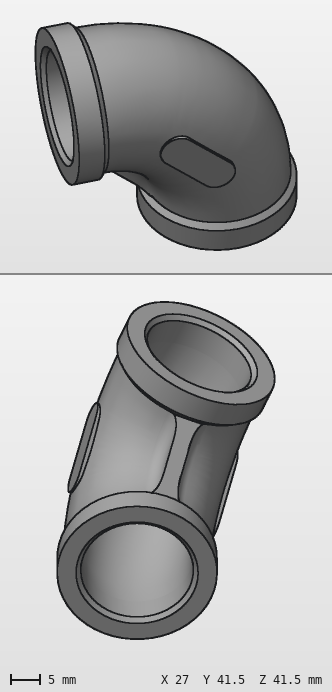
import cadquery as cq
import math


bend_angle = 90.0
centre_to_face = 28.0
collar_radius = 13.5
collar_width = 4.5
collar_chamfer = 1.0
tube_radius = 12.5
bore_radius = 9.5
mouth_chamfer = 0.8

web_thickness = 3.0
web_fillet = 3.0

pad_length = 16.0
pad_width = 6.0
pad_face_x = 12.8
pad_bend_radius = 22.0

port_length = collar_width + collar_chamfer
bend_radius = centre_to_face - port_length
inner_bend_radius = bend_radius - tube_radius
web_root_overlap = (tube_radius - bore_radius) / 2


def bend(profile):
    """Sweep a profile lying on the bend's lower end plane around the bend."""
    return profile.revolve(bend_angle, (0, -bend_radius, 0), (1, -bend_radius, 0))


def bend_plane():
    """Plane where the lower port meets the bend."""
    return cq.Workplane("XY", origin=(0, 0, -bend_radius))


def on_both_ports(lower):
    """Join a lower-port body with a copy turned onto the -Y port."""
    turned = lower.rotate((0, 0, 0), (1, 0, 0), -bend_angle)
    return lower.union(turned)


def make_collars():
    """Plain collars with a cone down to the tube at their inner edge."""
    collar = (
        cq.Workplane("XY", origin=(0, 0, -centre_to_face))
        .circle(collar_radius)
        .extrude(port_length)
        .faces(">Z")
        .chamfer(collar_chamfer)
    )
    return on_both_ports(collar)


def make_bore():
    """Straight bores with chamfered mouths, joined by the curved passage."""
    mouth_radius = bore_radius + mouth_chamfer
    straight = (
        cq.Workplane("XZ")
        .moveTo(0, -centre_to_face)
        .lineTo(mouth_radius, -centre_to_face)
        .lineTo(bore_radius, -centre_to_face + mouth_chamfer)
        .lineTo(bore_radius, -bend_radius)
        .lineTo(0, -bend_radius)
        .close()
        .revolve(360, (0, 0, 0), (0, 1, 0))
    )
    return on_both_ports(straight).union(bend(bend_plane().circle(bore_radius)))


def make_web():
    """Filleted web inside the bend, cut off flat along the chord of its inner arc."""
    half_web = web_thickness / 2
    fillet_x = half_web + web_fillet
    fillet_reach = tube_radius + web_fillet
    fillet_y = -math.sqrt(fillet_reach**2 - fillet_x**2)
    contact_x = fillet_x * tube_radius / fillet_reach
    contact_y = fillet_y * tube_radius / fillet_reach
    middle_angle = (math.pi + math.atan2(-fillet_y, -fillet_x)) / 2
    middle_x = fillet_x + web_fillet * math.cos(middle_angle)
    middle_y = fillet_y + web_fillet * math.sin(middle_angle)
    edge_y = -bend_radius + inner_bend_radius / 2
    root_y = contact_y + web_root_overlap

    ring = bend(
        bend_plane()
        .moveTo(-half_web, edge_y)
        .lineTo(half_web, edge_y)
        .lineTo(half_web, fillet_y)
        .threePointArc((middle_x, middle_y), (contact_x, contact_y))
        .lineTo(contact_x, root_y)
        .lineTo(-contact_x, root_y)
        .lineTo(-contact_x, contact_y)
        .threePointArc((-middle_x, middle_y), (-half_web, fillet_y))
        .close()
    )
    corner = (-bend_radius, -bend_radius)
    open_corner = (
        cq.Workplane("YZ")
        .polyline([corner, (-tube_radius, -bend_radius), (-bend_radius, -tube_radius)])
        .close()
        .extrude(fillet_x, both=True)
    )
    return ring.cut(open_corner)


def make_pads():
    """Rounded bar across the bend; its ends are flat pads on both sides of the tube.

    The bore later removes the middle of the bar.
    """
    pad_offset = pad_bend_radius * math.cos(math.radians(bend_angle / 2)) - bend_radius
    return (
        cq.Workplane("YZ", origin=(0, pad_offset, pad_offset))
        .transformed(rotate=(0, 0, -45))
        .slot2D(pad_length, pad_width)
        .extrude(pad_face_x, both=True)
    )


tube = bend(bend_plane().circle(tube_radius))
body = tube.union(make_collars()).union(make_web()).union(make_pads())
result = body.cut(make_bore())